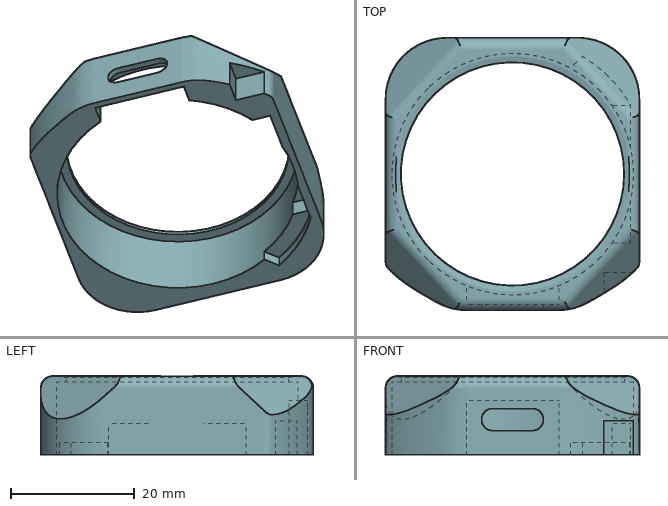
import cadquery as cq
import math

width = 41.0
length = 44.0
height = 12.75
half_width = width / 2
half_length = length / 2

rear_corner_radius = 10.0
front_flat_half = 7.5
front_corner_y = -14.1

facet_end_x = 7.65
facet_end_y = 8.05
front_facet_angle = 54.0
rear_facet_angle = 52.5
top_edge_radius = 2.0

opening_diameter = 36.0
countersink_diameter = 37.95
countersink_depth = 0.2
lip_thickness = 0.7
bore_diameter = 39.0

port_length = 10.0
port_height = 3.55
port_z = 5.7

port_wall = 1.0
port_pocket_width = 14.95
port_pocket_height = 8.8

recess_outer_x = 19.0
recess_height = 5.1
recess_half_length = 11.1

step_inner_x = 14.7
step_rear_y = -15.85
step_height = 5.5

notch_width = 11.0
notch_height = 2.02
notch_outer_radius = 22.1



def make_body():
    """Extruded outline with round rear corners and flowing front corners."""
    rear_y = half_length - rear_corner_radius
    rear_x = half_width - rear_corner_radius
    arc_offset = rear_corner_radius * math.sqrt(0.5)
    front_curve = [(13.7, -19.9), (18.25, -16.9), (20.05, -15.22), (half_width, front_corner_y)]
    right_half = (
        cq.Workplane("XY")
        .moveTo(0, -half_length)
        .lineTo(front_flat_half, -half_length)
        .spline(front_curve, tangents=[(1, 0), (0, 1)], includeCurrent=True)
        .lineTo(half_width, rear_y)
        .threePointArc((rear_x + arc_offset, rear_y + arc_offset), (rear_x, half_length))
        .lineTo(0, half_length)
        .close()
        .extrude(height)
    )
    return right_half.union(right_half.mirror("YZ")).clean()


def make_facet_cutter(side_x, side_y, facet_angle):
    """Block whose underside is the sloped facet of one corner."""
    run_x = half_width - facet_end_x
    run_y = half_length - facet_end_y
    edge_middle = (
        side_x * (facet_end_x + half_width) / 2,
        side_y * (facet_end_y + half_length) / 2,
        height,
    )
    tilt = math.radians(facet_angle)
    edge_length = math.hypot(run_x, run_y)
    normal = (
        side_x * math.sin(tilt) * run_y / edge_length,
        side_y * math.sin(tilt) * run_x / edge_length,
        math.cos(tilt),
    )
    edge_direction = (side_x * run_x, -side_y * run_y, 0)
    plane = cq.Plane(origin=edge_middle, xDir=edge_direction, normal=normal)
    return cq.Workplane(plane).rect(length, length).extrude(length)


def make_ring_opening():
    """Revolved profile of the countersink, lip and wide bore."""
    lip_top = height - countersink_depth
    lip_bottom = lip_top - lip_thickness
    opening_radius = opening_diameter / 2
    bore_radius = bore_diameter / 2
    profile = [
        (0, 0),
        (bore_radius, 0),
        (bore_radius, lip_bottom),
        (opening_radius, lip_bottom),
        (opening_radius, lip_top),
        (countersink_diameter / 2, height),
        (0, height),
    ]
    return cq.Workplane("XZ").polyline(profile).close().revolve(360, (0, 0), (0, 1))


def make_port():
    """Round-ended opening through the front wall only."""
    return (
        cq.Workplane("XZ")
        .center(0, port_z)
        .slot2D(port_length, port_height)
        .extrude(half_length)
    )


def make_port_pocket():
    """Pocket from the bore to the thin wall around the port."""
    reach = half_length - port_wall
    pocket = cq.Workplane("XY").box(
        port_pocket_width, reach, port_pocket_height, centered=(True, False, False)
    )
    return pocket.translate((0, -reach, 0))


def make_recess():
    """Straight recess that flattens the bore beside the +X wall."""
    return cq.Workplane("XY").box(
        recess_outer_x, 2 * recess_half_length, recess_height, centered=(False, True, False)
    )


def make_corner_step():
    """Square step cut into the front +X corner from outside."""
    corner = cq.Workplane("XY").box(
        half_width - step_inner_x, half_length + step_rear_y, step_height, centered=False
    )
    return corner.translate((step_inner_x, -half_length, 0))


def make_notch():
    """Pocket along the diagonal of the rear +X corner with a round outer wall."""
    block = cq.Workplane("XY").box(
        notch_outer_radius, notch_width, notch_height, centered=(False, True, False)
    )
    disc = cq.Workplane("XY").circle(notch_outer_radius).extrude(notch_height)
    return block.intersect(disc).rotate((0, 0, 0), (0, 0, 1), 45)


body = make_body()
for side_x in (-1, 1):
    body = body.cut(make_facet_cutter(side_x, -1, front_facet_angle))
    body = body.cut(make_facet_cutter(side_x, 1, rear_facet_angle))
body = body.faces(">Z").edges().fillet(top_edge_radius)

result = body.cut(make_ring_opening())
for cutter in (make_port(), make_port_pocket(), make_recess(), make_corner_step(), make_notch()):
    result = result.cut(cutter)